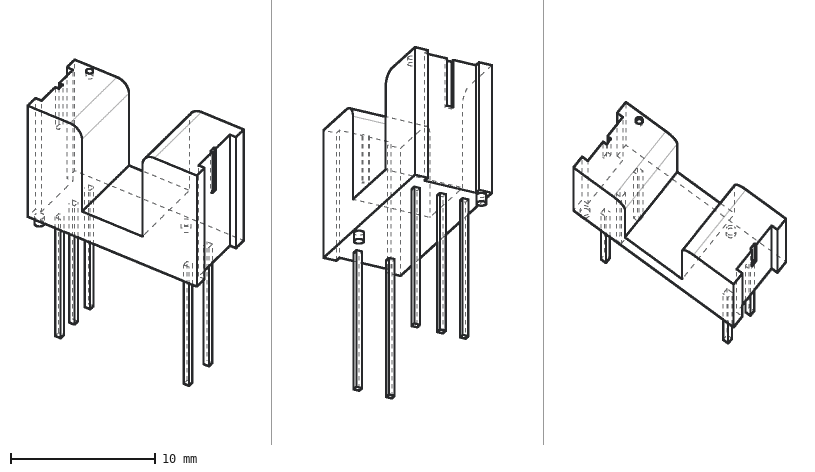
import cadquery as cq

LENGTH = 14.0
WIDTH = 6.0
HEIGHT = 10.0
GAP_WIDTH = 5.0
GAP_FLOOR = 2.5
TOWER_RADIUS = 1.0

RECESS_DEPTH = 0.5
RECESS_WIDTH = 4.0

NOTCH_WIDTH = 0.5
NOTCH_HEIGHT = 3.7
LEFT_NOTCH_DEPTH = 0.3
RIGHT_NOTCH_DEPTH = 0.15

MARK_DIAMETER = 0.5
MARK_DEPTH = 0.5
MARK_POSITION = (-5.45, 2.5)

PEG_DIAMETER = 0.7
PEG_LENGTH = 0.65
PEG_POSITIONS = [(-6.36, -2.5), (2.55, 2.5)]

PIN_SIZE = 0.45
PIN_LENGTH = 10.7
PIN_X = 5.15
LEFT_PIN_Y = [-1.77, 0.0, 2.0]
RIGHT_PIN_Y = [-1.27, 1.27]


def make_housing():
    """Block with an open-topped gap and rounded inner tower edges."""
    block = cq.Workplane("XY").box(LENGTH, WIDTH, HEIGHT, centered=(True, True, False))
    gap = (
        cq.Workplane("XY")
        .workplane(offset=GAP_FLOOR)
        .box(GAP_WIDTH, WIDTH, HEIGHT - GAP_FLOOR, centered=(True, True, False))
    )
    inner_top_edges = cq.selectors.BoxSelector(
        (-GAP_WIDTH / 2 - TOWER_RADIUS, -WIDTH, HEIGHT - TOWER_RADIUS / 2),
        (GAP_WIDTH / 2 + TOWER_RADIUS, WIDTH, HEIGHT + TOWER_RADIUS / 2),
    )
    return block.cut(gap).edges("|Y").edges(inner_top_edges).fillet(TOWER_RADIUS)


def make_end_cut(side, notch_depth):
    """Recess and notch removed from one end; side is -1 for -X and 1 for +X."""
    recess_x = side * (LENGTH - RECESS_DEPTH) / 2
    recess = (
        cq.Workplane("XY")
        .center(recess_x, 0)
        .box(RECESS_DEPTH, RECESS_WIDTH, HEIGHT, centered=(True, True, False))
    )
    total_depth = RECESS_DEPTH + notch_depth
    notch_x = side * (LENGTH - total_depth) / 2
    notch = (
        cq.Workplane("XY")
        .workplane(offset=HEIGHT - NOTCH_HEIGHT)
        .center(notch_x, 0)
        .box(total_depth, NOTCH_WIDTH, NOTCH_HEIGHT, centered=(True, True, False))
    )
    return recess.union(notch)


def make_mark():
    """Cylinder removed to leave the marking hole."""
    return (
        cq.Workplane("XY")
        .workplane(offset=HEIGHT)
        .center(*MARK_POSITION)
        .circle(MARK_DIAMETER / 2)
        .extrude(-MARK_DEPTH)
    )


def make_pegs():
    """Locating pegs hanging from the underside."""
    return cq.Workplane("XY").pushPoints(PEG_POSITIONS).circle(PEG_DIAMETER / 2).extrude(-PEG_LENGTH)


def make_pins():
    """Three pins under the left tower and two under the right one."""
    positions = [(-PIN_X, y) for y in LEFT_PIN_Y] + [(PIN_X, y) for y in RIGHT_PIN_Y]
    return cq.Workplane("XY").pushPoints(positions).rect(PIN_SIZE, PIN_SIZE).extrude(-PIN_LENGTH)


housing = make_housing()
housing = housing.cut(make_end_cut(-1, LEFT_NOTCH_DEPTH))
housing = housing.cut(make_end_cut(1, RIGHT_NOTCH_DEPTH))
housing = housing.cut(make_mark())

result = housing.union(make_pegs()).union(make_pins())